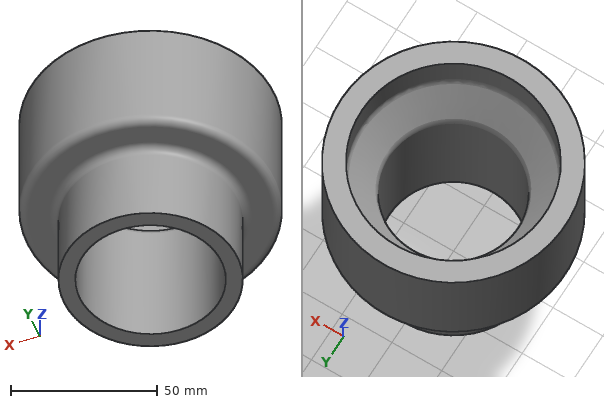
import cadquery as cq

height = 76.2
body_diameter = 89.9
spigot_diameter = 63.0
spigot_length = 31.7
socket_diameter = 73.5
bore_diameter = 51.4
socket_depth = 14.5
taper_height = 10.5
blend_radius = 3.0

body_radius = body_diameter / 2
spigot_radius = spigot_diameter / 2
socket_radius = socket_diameter / 2
bore_radius = bore_diameter / 2
socket_floor = height - socket_depth
taper_bottom = socket_floor - taper_height


def make_outside():
    """Stepped solid with a rounded shoulder and a blended spigot root."""
    profile = (
        cq.Workplane("XZ")
        .lineTo(spigot_radius, 0)
        .lineTo(spigot_radius, spigot_length - blend_radius)
        .radiusArc((spigot_radius + blend_radius, spigot_length), blend_radius)
        .lineTo(body_radius - blend_radius, spigot_length)
        .radiusArc((body_radius, spigot_length + blend_radius), -blend_radius)
        .lineTo(body_radius, height)
        .lineTo(0, height)
        .close()
    )
    return profile.revolve(360, (0, 0, 0), (0, 1, 0))


def make_passage():
    """Cutter for the through bore, conical seat and upper socket."""
    return (
        cq.Workplane("XZ")
        .lineTo(bore_radius, 0)
        .lineTo(bore_radius, taper_bottom)
        .lineTo(socket_radius, socket_floor)
        .lineTo(socket_radius, height)
        .lineTo(0, height)
        .close()
        .revolve(360, (0, 0, 0), (0, 1, 0))
    )


def is_taper_edge(edge):
    """True for the two circles that bound the conical seat."""
    middle_height = edge.Center().z
    in_taper_range = taper_bottom - blend_radius < middle_height < socket_floor + blend_radius
    return in_taper_range and edge.geomType() == "CIRCLE"


def round_taper_edges(passage):
    """Blend both ends of the conical seat into the straight bores."""
    edges = [edge for edge in passage.edges().vals() if is_taper_edge(edge)]
    return passage.newObject(edges).fillet(blend_radius)


result = make_outside().cut(round_taper_edges(make_passage()))